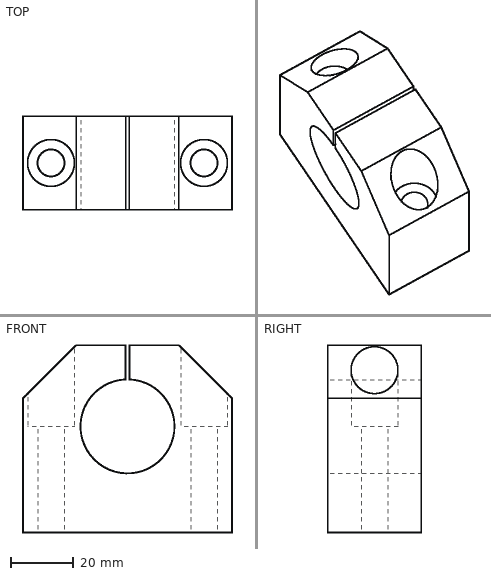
import cadquery as cq

width = 67.0
depth = 30.0
height = 60.0
corner_cut = 17.0
bore_diameter = 30.0
bore_height = 34.05
slit_width = 1.2
bolt_spacing = 49.0
bolt_diameter = 8.6
counterbore_diameter = 15.0
counterbore_floor = bore_height


def clamp_body():
    """Block centred on the Z axis, standing on Z = 0, with 45 degree upper corners."""
    block = cq.Workplane("XY").box(width, depth, height, centered=(True, True, False))
    return block.faces(">Z").edges("|Y").chamfer(corner_cut)


def shaft_bore():
    """Cylinder along Y for the clamped shaft."""
    return (
        cq.Workplane("XZ", origin=(0, 0, bore_height))
        .circle(bore_diameter / 2)
        .extrude(depth / 2, both=True)
    )


def clamping_slit():
    """Thin slot from the bore axis up through the top face."""
    return (
        cq.Workplane("XY", origin=(0, 0, bore_height))
        .box(slit_width, depth, height - bore_height, centered=(True, True, False))
    )


def bolt_hole(x):
    """Vertical through hole with a counterbore open to the sloped corner."""
    through = cq.Workplane("XY").center(x, 0).circle(bolt_diameter / 2).extrude(height)
    counterbore = (
        cq.Workplane("XY", origin=(x, 0, counterbore_floor))
        .circle(counterbore_diameter / 2)
        .extrude(height - counterbore_floor)
    )
    return through.union(counterbore)


result = clamp_body().cut(shaft_bore()).cut(clamping_slit())
for side in (-1, 1):
    result = result.cut(bolt_hole(side * bolt_spacing / 2))